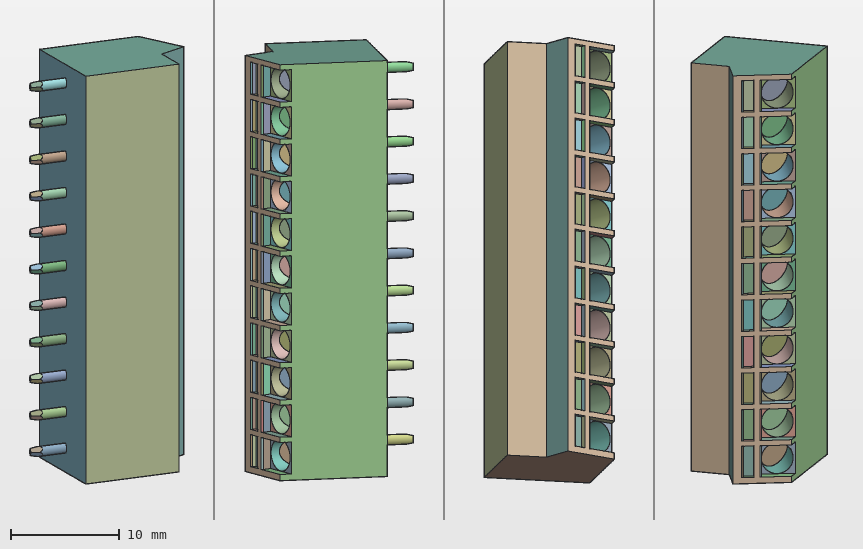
import cadquery as cq
import math

POLE_COUNT = 11
PITCH = 3.5
HOUSING_WIDTH = 10.0
HOUSING_LENGTH = 39.1
SHOULDER_Y = 9.5
SLOPE_START_Y = 10.1
RIDGE_Y = 12.4
SLOPE_ANGLE = 25.0

POCKET_LENGTH = 3.0
FIRST_POCKET_Z = 2.1
POCKET_DEPTH = 0.97
POCKET_END = 2.77
LEAD_IN = 0.15

GROOVE_START = 3.48
GROOVE_END = 4.62
GROOVE_DEPTH = 0.5
GROOVE_DRAFT = 8.0

HOLE_DIAMETER = 2.95
HOLE_CENTRE = 1.23
HOLE_SHALLOW_DEPTH = 0.95
HOLE_BOTTOM_TILT = 52.6

FIRST_PIN_Z = 2.32
PIN_CENTRE_X = 5.57
PIN_THICKNESS = 0.58
PIN_HEIGHT = 0.96
PIN_FLAT_WIDTH = 0.1
PIN_LENGTH = 3.5
TIP_TAPER_LENGTH = 0.8
TIP_TAPER_RATIO = 0.337
TIP_SIDE_RATIO = 0.584

OVERCUT = 2.0

SLOPE = math.radians(SLOPE_ANGLE)


def slope_plane(z):
    """Local x runs up the slope, local y points out of the sloped face."""
    return cq.Plane(
        origin=(0, SLOPE_START_Y, z),
        xDir=(math.cos(SLOPE), math.sin(SLOPE), 0),
        normal=(0, 0, 1),
    )


def housing():
    ridge_x = (RIDGE_Y - SLOPE_START_Y) / math.tan(SLOPE)
    notch_x = ridge_x + (RIDGE_Y - SHOULDER_Y) * math.tan(SLOPE)
    outline = [
        (0, 0),
        (HOUSING_WIDTH, 0),
        (HOUSING_WIDTH, SHOULDER_Y),
        (notch_x, SHOULDER_Y),
        (ridge_x, RIDGE_Y),
        (0, SLOPE_START_Y),
    ]
    return cq.Workplane("XY").polyline(outline).close().extrude(HOUSING_LENGTH)


def slope_prism(points, z, length):
    """Prism on a slope-plane outline, centred on height z."""
    return cq.Workplane(slope_plane(z)).polyline(points).close().extrude(length / 2, both=True)


def entry_pocket(z):
    points = [
        (-OVERCUT, -POCKET_DEPTH),
        (POCKET_END, -POCKET_DEPTH),
        (POCKET_END, -LEAD_IN),
        (POCKET_END + LEAD_IN, 0),
        (POCKET_END + LEAD_IN, OVERCUT),
        (-OVERCUT, OVERCUT),
    ]
    return slope_prism(points, z, POCKET_LENGTH)


def release_groove(z):
    wall_top = GROOVE_END - LEAD_IN
    wall_foot = wall_top - (GROOVE_DEPTH - LEAD_IN) * math.tan(math.radians(GROOVE_DRAFT))
    points = [
        (GROOVE_START, 0),
        (GROOVE_START, -GROOVE_DEPTH),
        (wall_foot, -GROOVE_DEPTH),
        (wall_top, -LEAD_IN),
        (GROOVE_END, 0),
    ]
    return slope_prism(points, z, POCKET_LENGTH)


def wire_hole(z):
    """Round hole square to the pocket floor, ending on a steeply tilted plane."""
    radius = HOLE_DIAMETER / 2
    lower = HOLE_CENTRE - radius
    upper = HOLE_CENTRE + radius
    shallow = POCKET_DEPTH + HOLE_SHALLOW_DEPTH
    deep = shallow + HOLE_DIAMETER * math.tan(math.radians(HOLE_BOTTOM_TILT))
    side = [
        (lower, -POCKET_DEPTH),
        (upper, -POCKET_DEPTH),
        (upper, -shallow),
        (lower, -deep),
    ]
    mouth = slope_plane(z).toWorldCoords((HOLE_CENTRE, -POCKET_DEPTH, 0))
    inward = cq.Vector(math.sin(SLOPE), -math.cos(SLOPE), 0)
    bore = cq.Workplane(cq.Solid.makeCylinder(radius, deep, mouth, inward))
    return bore.intersect(slope_prism(side, z, HOLE_DIAMETER))


def pin(z):
    half_thickness = PIN_THICKNESS / 2
    half_height = PIN_HEIGHT / 2
    half_flat = PIN_FLAT_WIDTH / 2
    shank = (
        cq.Workplane("XZ", origin=(PIN_CENTRE_X, 0, z))
        .moveTo(half_flat, -half_height)
        .threePointArc((half_thickness, 0), (half_flat, half_height))
        .lineTo(-half_flat, half_height)
        .threePointArc((-half_thickness, 0), (-half_flat, -half_height))
        .close()
        .extrude(PIN_LENGTH)
    )
    return shank.cut(tip_taper(z, 1)).cut(tip_taper(z, -1))


def tip_taper(z, side):
    """Wedge outside one sloping tip face; side is +1 above the pin centre, -1 below."""
    crest_x = PIN_CENTRE_X + PIN_THICKNESS / 2
    start_y = TIP_TAPER_LENGTH - PIN_LENGTH
    normal = cq.Vector(1, -TIP_TAPER_RATIO, side * TIP_SIDE_RATIO)
    face = cq.Plane(origin=(crest_x, start_y, z), xDir=(TIP_TAPER_RATIO, 1, 0), normal=normal)
    return cq.Workplane(face).rect(2 * PIN_LENGTH, 2 * PIN_LENGTH).extrude(PIN_LENGTH)


result = housing()
for pole in range(POLE_COUNT):
    pocket_z = FIRST_POCKET_Z + pole * PITCH
    result = result.cut(entry_pocket(pocket_z))
    result = result.cut(release_groove(pocket_z))
    result = result.cut(wire_hole(pocket_z))
    result = result.union(pin(FIRST_PIN_Z + pole * PITCH))